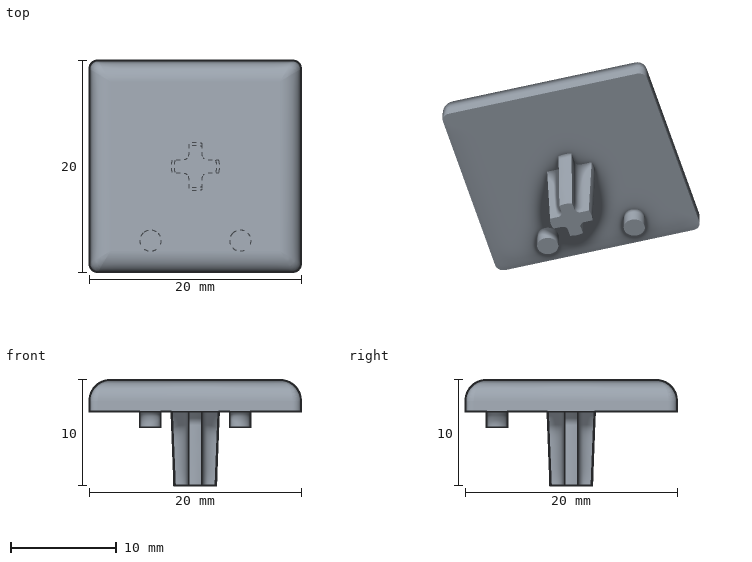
import cadquery as cq

PLATE_SIDE = 20
PLATE_THICKNESS = 3
TOP_EDGE_RADIUS = 2
CORNER_RADIUS = 0.8

STEM_LENGTH = 7
STEM_ROOT_DIAMETER = 4.55
STEM_TIP_DIAMETER = 4
ARM_WIDTH = 1.25
ARM_FILLET_RADIUS = 0.5

PIN_DIAMETER = 2
PIN_LENGTH = 1.5
PIN_OFFSET_X = 4.25
PIN_Y = -7


def make_plate():
    """Square plate with rounded top edges and corners that sharpen towards the top face."""
    plate = cq.Workplane("XY").box(
        PLATE_SIDE, PLATE_SIDE, PLATE_THICKNESS, centered=(True, True, False)
    )
    plate = plate.faces(">Z").edges().fillet(TOP_EDGE_RADIUS)
    return plate.edges("|Z").fillet(CORNER_RADIUS)


def make_stem():
    """Cone trimmed to a straight-sided cross with filleted inner corners."""
    downwards = cq.Vector(0, 0, -1)
    cone = cq.Solid.makeCone(
        STEM_ROOT_DIAMETER / 2, STEM_TIP_DIAMETER / 2, STEM_LENGTH, dir=downwards
    )
    arm_along_x = cq.Workplane("XY").rect(STEM_ROOT_DIAMETER, ARM_WIDTH).extrude(-STEM_LENGTH)
    arm_along_y = cq.Workplane("XY").rect(ARM_WIDTH, STEM_ROOT_DIAMETER).extrude(-STEM_LENGTH)
    inner_corners = cq.selectors.BoxSelector(
        (-ARM_WIDTH, -ARM_WIDTH, -STEM_LENGTH), (ARM_WIDTH, ARM_WIDTH, 0)
    )
    cross = arm_along_x.union(arm_along_y)
    cross = cross.edges("|Z").edges(inner_corners).fillet(ARM_FILLET_RADIUS)
    return cross.intersect(cq.Workplane(cone))


def make_pins():
    """Pair of round pins placed symmetrically about X = 0."""
    return (
        cq.Workplane("XY")
        .pushPoints([(side * PIN_OFFSET_X, PIN_Y) for side in (-1, 1)])
        .circle(PIN_DIAMETER / 2)
        .extrude(-PIN_LENGTH)
    )


result = make_plate().union(make_stem()).union(make_pins())